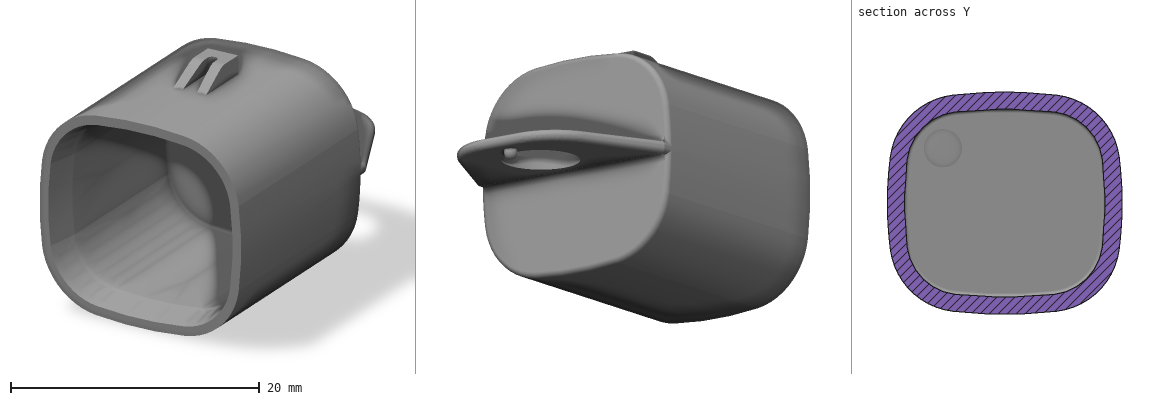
import cadquery as cq
import math

width = 18.95
height = 17.92
body_length = 18.97
overall_length = 29.0
half_width = width / 2
half_height = height / 2

corner_radius = 5.8
corner_x = 3.48
corner_z = 2.95
back_edge_radius = 0.44

rim_wall = 0.8
lead_in_wall = 1.33
floor_wall = 1.42
floor_fillet_radius = 0.25
lead_in_depth = 2.9
floor_thickness = 1.45
cavity_depth = body_length - floor_thickness

mark_radius = 1.55
mark_x = -4.95
mark_z = 4.4
mark_depth = 0.15

tab_tip_thickness = 0.93
tab_root_thickness = 1.05
tab_tip_half_width = 4.95
tab_corner_radius = 4.93
tab_edge_radius = 0.44
tab_root_radius = 0.52
tab_hole_diameter = 6.38
tab_hole_y = overall_length - 5.48

peg_radius = 0.52
peg_y = overall_length - 1.48
peg_bottom_z = -1.28
peg_tip_radius = 0.5

catch_height = 1.55
catch_half_width = 1.42
catch_side_draft = 4.0
catch_front_y = 7.77
catch_ramp_top_y = 10.45
catch_back_base_y = 12.75
catch_back_top_y = 12.93
catch_ramp_radius = 1.88
catch_embed = 0.15
catch_slot_half_width = 0.44
catch_slot_end_y = 11.7
catch_slot_draft = 8.0


def crown_radius(half_size, along, across):
    """Radius of a side arc that peaks at half_size and is tangent to the corner arcs."""
    reach = half_size - across
    return (along**2 + reach**2 - corner_radius**2) / (2 * (reach - corner_radius))


def section(y, inset=0.0):
    """Closed cross-section at the given Y, moved inward by inset."""
    top_crown = crown_radius(half_height, corner_x, corner_z)
    side_crown = crown_radius(half_width, corner_z, corner_x)
    top_angle = math.asin(corner_x / (top_crown - corner_radius))
    side_angle = math.asin(corner_z / (side_crown - corner_radius))
    radius = corner_radius - inset

    def corner_point(angle_from_z):
        x = corner_x + radius * math.sin(angle_from_z)
        z = corner_z + radius * math.cos(angle_from_z)
        return x, z

    side_start = math.pi / 2 - side_angle
    top_x, top_z = corner_point(top_angle)
    mid_x, mid_z = corner_point((top_angle + side_start) / 2)
    side_x, side_z = corner_point(side_start)
    peak_x = half_width - inset
    peak_z = half_height - inset

    return (
        cq.Workplane("XZ", origin=(0, y, 0))
        .moveTo(-top_x, top_z)
        .threePointArc((0, peak_z), (top_x, top_z))
        .threePointArc((mid_x, mid_z), (side_x, side_z))
        .threePointArc((peak_x, 0), (side_x, -side_z))
        .threePointArc((mid_x, -mid_z), (top_x, -top_z))
        .threePointArc((0, -peak_z), (-top_x, -top_z))
        .threePointArc((-mid_x, -mid_z), (-side_x, -side_z))
        .threePointArc((-peak_x, 0), (-side_x, side_z))
        .threePointArc((-mid_x, mid_z), (-top_x, top_z))
        .close()
    )


def tapered_space(start_y, start_wall, end_y, end_wall):
    """Solid that fills the inside between two wall thicknesses."""
    wires = [section(start_y, start_wall).val(), section(end_y, end_wall).val()]
    return cq.Workplane(cq.Solid.makeLoft(wires, True))


def make_body():
    """Solid plug with a rounded back edge; the cavity is cut later."""
    return section(0).extrude(-body_length).faces(">Y").edges().fillet(back_edge_radius)


def make_tab():
    """Flat tab, slightly thicker at the root, with rounded edges, a hole and a peg."""
    start_y = body_length - back_edge_radius
    root_y = body_length + tab_root_radius
    plan = (
        cq.Workplane("XY", origin=(0, 0, -tab_root_thickness))
        .moveTo(-half_width, start_y)
        .lineTo(-half_width, root_y)
        .lineTo(-tab_tip_half_width, overall_length)
        .lineTo(tab_tip_half_width, overall_length)
        .lineTo(half_width, root_y)
        .lineTo(half_width, start_y)
        .close()
        .extrude(2 * tab_root_thickness)
        .edges("|Z and >Y")
        .fillet(tab_corner_radius)
    )
    side = (
        cq.Workplane("YZ")
        .moveTo(start_y, tab_root_thickness / 2)
        .lineTo(overall_length, tab_tip_thickness / 2)
        .lineTo(overall_length, -tab_tip_thickness / 2)
        .lineTo(start_y, -tab_root_thickness / 2)
        .close()
        .extrude(half_width, both=True)
    )
    tab = plan.intersect(side)
    tab = tab.faces(">Z or <Z").edges("not <Y").fillet(tab_edge_radius)
    hole = (
        cq.Workplane("XY", origin=(0, tab_hole_y, 0))
        .circle(tab_hole_diameter / 2)
        .extrude(tab_root_thickness, both=True)
    )
    peg = (
        cq.Workplane("XY", origin=(0, peg_y, peg_bottom_z))
        .circle(peg_radius)
        .extrude(-peg_bottom_z)
        .faces("<Z")
        .edges()
        .fillet(peg_tip_radius)
    )
    return tab.cut(hole).union(peg)


def make_root_flare():
    """Concave flare that blends both faces of the tab into the back of the body."""
    inner = tab_root_thickness / 2
    outer = inner + tab_root_radius
    end_y = body_length + tab_root_radius
    bend = tab_root_radius * (1 - math.sqrt(0.5))
    return (
        cq.Workplane("YZ")
        .moveTo(body_length - back_edge_radius, outer)
        .lineTo(body_length, outer)
        .threePointArc((body_length + bend, inner + bend), (end_y, inner))
        .lineTo(end_y, -inner)
        .threePointArc((body_length + bend, -inner - bend), (body_length, -outer))
        .lineTo(body_length - back_edge_radius, -outer)
        .close()
        .extrude(half_width - back_edge_radius, both=True)
    )


def make_catch():
    """Ramped catch with an undercut back and a slot that opens to the front."""
    top_z = half_height + catch_height
    base_z = half_height - catch_embed
    ramp_run = (catch_ramp_top_y - catch_front_y) / catch_height
    back_run = (catch_back_top_y - catch_back_base_y) / catch_height
    profile = (
        cq.Workplane("YZ")
        .moveTo(catch_front_y - ramp_run * catch_embed, base_z)
        .lineTo(catch_ramp_top_y, top_z)
        .lineTo(catch_back_top_y, top_z)
        .lineTo(catch_back_base_y - back_run * catch_embed, base_z)
        .close()
        .extrude(2 * catch_half_width, both=True)
    )
    ramp_corner = cq.selectors.NearestToPointSelector((0, catch_ramp_top_y, top_z))
    profile = profile.edges(ramp_corner).fillet(catch_ramp_radius)

    depth = catch_height + catch_embed
    sides = (
        cq.Workplane("XY", origin=(0, catch_ramp_top_y, top_z))
        .rect(2 * catch_half_width, body_length)
        .extrude(-depth, taper=-catch_side_draft)
    )
    slot_center_y = catch_slot_end_y - catch_slot_half_width
    slot = (
        cq.Workplane("XY", origin=(0, 0, top_z))
        .moveTo(-catch_slot_half_width, 0)
        .lineTo(-catch_slot_half_width, slot_center_y)
        .threePointArc((0, catch_slot_end_y), (catch_slot_half_width, slot_center_y))
        .lineTo(catch_slot_half_width, 0)
        .close()
        .extrude(-depth, taper=-catch_slot_draft)
    )
    return profile.intersect(sides).cut(slot)


def make_cavity():
    """Inside space with its steeper lead-in and the round floor mark."""
    lead_in = tapered_space(0, rim_wall, lead_in_depth, lead_in_wall)
    main_space = tapered_space(lead_in_depth, lead_in_wall, cavity_depth, floor_wall)
    main_space = main_space.faces(">Y").edges().fillet(floor_fillet_radius)
    mark = (
        cq.Workplane("XZ", origin=(mark_x, cavity_depth, mark_z))
        .circle(mark_radius)
        .extrude(-mark_depth)
    )
    return lead_in.union(main_space).union(mark)


result = (
    make_body()
    .union(make_root_flare())
    .union(make_tab())
    .union(make_catch())
    .cut(make_cavity())
)